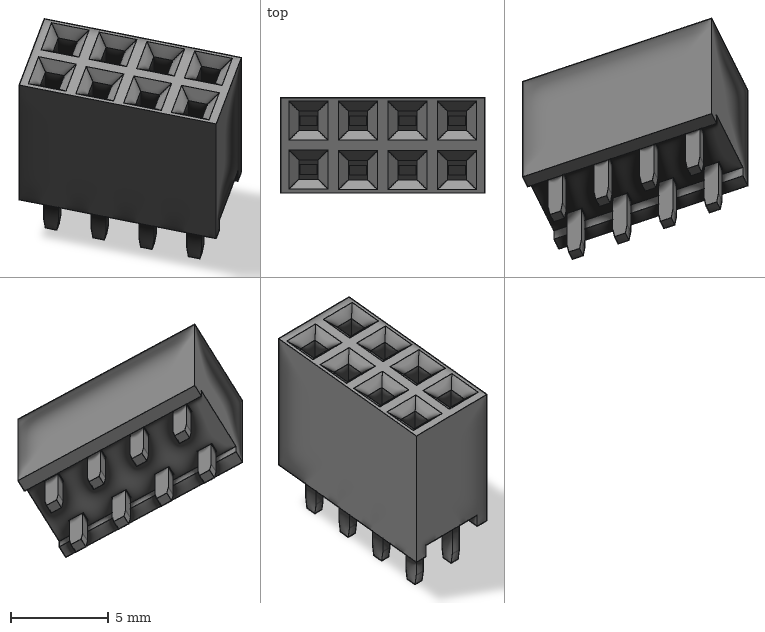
import cadquery as cq

COLUMNS = 4
ROWS = 2
PITCH = 2.54
FRONT_LEFT_SHIFT = 0.03

LENGTH = 10.5
WIDTH = 4.9
HEIGHT = 8.5
OVERALL_HEIGHT = 11.25
FOOT_WIDTH = 0.68
CHANNEL_HEIGHT = 0.75

MOUTH_SIZE = 2.0
CAVITY_SIZE = 1.0
FUNNEL_DEPTH = 0.5
CAVITY_DEPTH = 6.0
CAVITY_FLOOR_Z = HEIGHT - CAVITY_DEPTH

PIN_THICKNESS = 0.5
HEAD_WIDTH = 0.87
LEG_WIDTH = 0.8
TIP_WIDTH = 0.61
TAPER_LENGTH = 0.7
TIP_Z = HEIGHT - OVERALL_HEIGHT


def contact_point(column, row):
    """Centre of one contact; columns run along +X and rows along +Y."""
    x = (column - (COLUMNS - 1) / 2) * PITCH
    y = (row - (ROWS - 1) / 2) * PITCH
    if column == 0 and row == 0:
        y += FRONT_LEFT_SHIFT
    return x, y


CONTACT_POINTS = [contact_point(column, row) for column in range(COLUMNS) for row in range(ROWS)]


def make_socket(x, y):
    """Open space of one socket, from the top face down to the cavity floor."""
    funnel = (
        cq.Workplane("XY", origin=(x, y, HEIGHT))
        .rect(MOUTH_SIZE, MOUTH_SIZE)
        .workplane(offset=-FUNNEL_DEPTH)
        .rect(CAVITY_SIZE, CAVITY_SIZE)
        .loft(ruled=True)
    )
    cavity = (
        cq.Workplane("XY", origin=(x, y, CAVITY_FLOOR_Z))
        .rect(CAVITY_SIZE, CAVITY_SIZE)
        .extrude(CAVITY_DEPTH - FUNNEL_DEPTH)
    )
    return funnel.union(cavity)


def make_head_slot(x, y):
    """Slot through the cavity floor that matches the head of a pin."""
    return (
        cq.Workplane("XY", origin=(x, y, CHANNEL_HEIGHT))
        .rect(HEAD_WIDTH, PIN_THICKNESS)
        .extrude(CAVITY_FLOOR_Z - CHANNEL_HEIGHT)
    )


def make_housing():
    """Block with a channel along its underside and one socket per contact."""
    housing = cq.Workplane("XY").rect(LENGTH, WIDTH).extrude(HEIGHT)
    channel = cq.Workplane("XY").rect(LENGTH, WIDTH - 2 * FOOT_WIDTH).extrude(CHANNEL_HEIGHT)
    housing = housing.cut(channel)
    for x, y in CONTACT_POINTS:
        housing = housing.cut(make_socket(x, y))
        housing = housing.cut(make_head_slot(x, y))
    return housing


def make_pin(x, y):
    """Flat pin from the cavity floor to its tip, tapered in width only."""
    half_profile = [
        (TIP_WIDTH / 2, TIP_Z),
        (LEG_WIDTH / 2, TIP_Z + TAPER_LENGTH),
        (LEG_WIDTH / 2, CHANNEL_HEIGHT),
        (HEAD_WIDTH / 2, CHANNEL_HEIGHT),
        (HEAD_WIDTH / 2, CAVITY_FLOOR_Z),
    ]
    mirrored_profile = [(-across, z) for across, z in reversed(half_profile)]
    return (
        cq.Workplane("XZ")
        .polyline(half_profile + mirrored_profile)
        .close()
        .extrude(PIN_THICKNESS / 2, both=True)
        .translate((x, y, 0))
    )


housing = make_housing()
pins = [make_pin(x, y) for x, y in CONTACT_POINTS]

result = cq.Compound.makeCompound([housing.val(), *[pin.val() for pin in pins]])